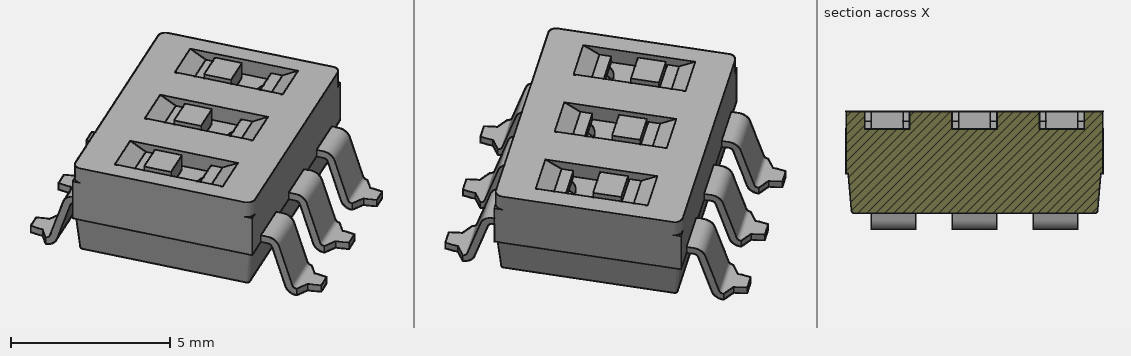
import cadquery as cq
import math

housing_length_x = 6.0
housing_length_y = 8.06
cover_corner_radius = 0.25
top_z = 3.7
cover_bottom_z = 3.15
body_bottom_z = 1.75
base_bottom_z = 0.5
base_inset = 0.06
base_draft = 5.0
base_edge_radius = 0.1

switch_count = 3
switch_pitch = 2.74
window_length = 3.6
window_width = 1.4
ledge_depth = 0.3
ramp_run = 0.52
well_length = 1.8
well_depth = top_z - cover_bottom_z

button_length = well_length / 2
button_width = 1.0

recess_radius = 0.6
recess_center_x = 1.28
recess_depth = 0.45

lead_pitch = 2.54
lead_width = 1.4
lead_thickness = 0.25
lead_top_z = body_bottom_z + lead_thickness
lead_span = 9.7
bend_inner_radius = 0.15
bend_outer_radius = bend_inner_radius + lead_thickness
shoulder_bend_x = 3.52
foot_bend_x = 4.08
lead_embedding = 0.3
lead_root_x = housing_length_x / 2 - lead_embedding

tip_x = lead_span / 2
taper_start_x = 4.19
tongue_start_x = 4.43
tongue_land = 0.1
tongue_root_half_width = 0.31
tongue_tip_half_width = 0.25


def row_positions(pitch):
    """Y positions of the three switches or leads, centred on the part."""
    return [(i - (switch_count - 1) / 2) * pitch for i in range(switch_count)]


def block(length_x, length_y, bottom_z, height):
    """Box centred on the Z axis, standing on bottom_z."""
    return (
        cq.Workplane("XY", origin=(0, 0, bottom_z))
        .rect(length_x, length_y)
        .extrude(height)
    )


def make_housing():
    """Cover, block and drafted base joined in one stack."""
    cover = block(housing_length_x, housing_length_y, cover_bottom_z, top_z - cover_bottom_z)
    cover = cover.edges("|Z").fillet(cover_corner_radius)
    body = block(housing_length_x, housing_length_y, body_bottom_z, cover_bottom_z - body_bottom_z)
    base = (
        cq.Workplane("XY", origin=(0, 0, body_bottom_z))
        .rect(housing_length_x - 2 * base_inset, housing_length_y - 2 * base_inset)
        .extrude(base_bottom_z - body_bottom_z, taper=base_draft)
    )
    base = base.edges("not >Z").fillet(base_edge_radius)
    return body.union(cover).union(base)


def make_window_cut(y):
    """Window with ramped ends, ledges, a deep central well and a round recess."""
    half_window = window_length / 2
    half_ledge = half_window - ramp_run
    half_well = well_length / 2
    ledge_z = top_z - ledge_depth
    well_z = top_z - well_depth
    opening = (
        cq.Workplane("XZ", origin=(0, y + window_width / 2, 0))
        .moveTo(-half_window, top_z)
        .lineTo(-half_ledge, ledge_z)
        .lineTo(-half_well, ledge_z)
        .lineTo(-half_well, well_z)
        .lineTo(half_well, well_z)
        .lineTo(half_well, ledge_z)
        .lineTo(half_ledge, ledge_z)
        .lineTo(half_window, top_z)
        .close()
        .extrude(window_width)
    )
    recess = (
        cq.Workplane("XY", origin=(recess_center_x, y, well_z))
        .circle(recess_radius)
        .extrude(-recess_depth)
    )
    return opening.union(recess)


def make_button(y):
    """Slider button rising from the well floor to the top of the cover."""
    return block(button_length, button_width, cover_bottom_z, well_depth).translate(
        (-button_length / 2, y, 0)
    )


def fillet_at(solid, point, radius):
    """Round the one edge whose middle lies nearest to the point."""
    return solid.edges(cq.selectors.NearestToPointSelector(point)).fillet(radius)


def make_lead(y):
    """Lead on the +X side: bent strip trimmed to the foot outline."""
    drop = lead_top_z - lead_thickness
    bend_angle = math.atan2(drop, foot_bend_x - shoulder_bend_x)
    miter = lead_thickness * math.tan(bend_angle / 2)
    strip = (
        cq.Workplane("XZ", origin=(0, y + lead_width / 2, 0))
        .moveTo(lead_root_x, lead_top_z)
        .lineTo(shoulder_bend_x, lead_top_z)
        .lineTo(foot_bend_x, lead_thickness)
        .lineTo(tip_x, lead_thickness)
        .lineTo(tip_x, 0)
        .lineTo(foot_bend_x - miter, 0)
        .lineTo(shoulder_bend_x - miter, drop)
        .lineTo(lead_root_x, drop)
        .close()
        .extrude(lead_width)
    )
    strip = fillet_at(strip, (shoulder_bend_x, y, lead_top_z), bend_outer_radius)
    strip = fillet_at(strip, (shoulder_bend_x - miter, y, drop), bend_inner_radius)
    strip = fillet_at(strip, (foot_bend_x, y, lead_thickness), bend_inner_radius)
    strip = fillet_at(strip, (foot_bend_x - miter, y, 0), bend_outer_radius)

    outline = (
        cq.Workplane("XY", origin=(0, y, 0))
        .moveTo(lead_root_x, lead_width / 2)
        .lineTo(taper_start_x, lead_width / 2)
        .lineTo(tongue_start_x, tongue_root_half_width)
        .lineTo(tongue_start_x + tongue_land, tongue_root_half_width)
        .lineTo(tip_x, tongue_tip_half_width)
        .lineTo(tip_x, -tongue_tip_half_width)
        .lineTo(tongue_start_x + tongue_land, -tongue_root_half_width)
        .lineTo(tongue_start_x, -tongue_root_half_width)
        .lineTo(taper_start_x, -lead_width / 2)
        .lineTo(lead_root_x, -lead_width / 2)
        .close()
        .extrude(lead_top_z)
    )
    return strip.intersect(outline)


result = make_housing()

for switch_y in row_positions(switch_pitch):
    result = result.cut(make_window_cut(switch_y))
    result = result.union(make_button(switch_y))

for lead_y in row_positions(lead_pitch):
    lead = make_lead(lead_y)
    result = result.union(lead).union(lead.mirror("YZ"))